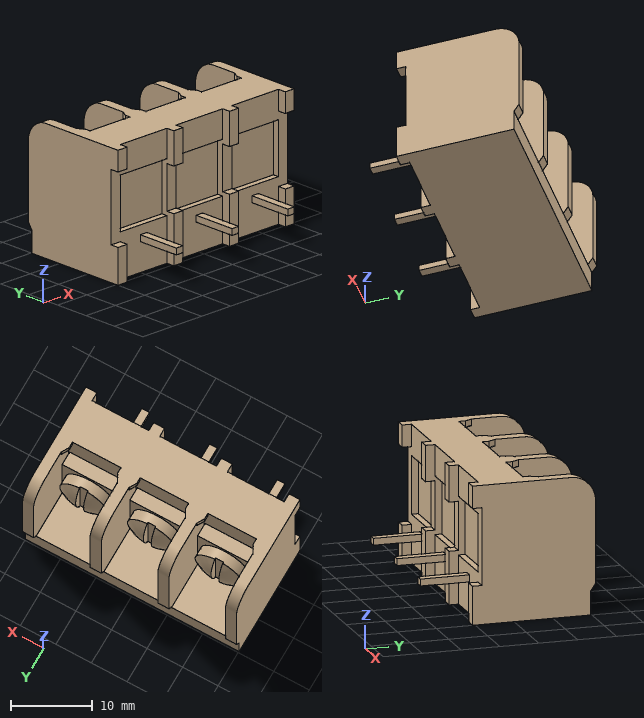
import cadquery as cq


pole_count = 3
length = 30.12
height = 17.77
depth = 15.85
pitch = 9.52
wall = length - pole_count * pitch
bay_width = pitch - wall
corner_radius = 3.15

base_inset = 0.63
base_height = 3.05
step_top = 4.0

bay_back = 7.15
roof_thickness = 0.85
throat_width = 6.8
throat_straight_end = 7.95
throat_flare_end = 8.95

foot_depth = 1.2
outer_foot_top = 5.0
outer_lug_bottom = height - 2.85
inner_foot_top = 6.87
inner_lug_bottom = 13.13
pocket_bottom = 6.3
pocket_top = 13.75
pocket_depth = 0.87

pin_width = 1.1
pin_height = 0.9
pin_length = 5.12
pin_top = outer_foot_top

plate_width = 7.6
plate_front = 9.0
screw_z = (pocket_bottom + pocket_top) / 2
head_radius = 3.3
head_rim = 10.48
head_crown = 11.45
slot_width = 1.1
slot_floor = 10.3

wall_positions = [(i - pole_count / 2) * pitch for i in range(pole_count + 1)]
pole_positions = [(i - (pole_count - 1) / 2) * pitch for i in range(pole_count)]


def block(x_center, width, y_min, y_max, z_min, z_max):
    """Box centred on x_center in X, between the given Y and Z limits."""
    size = (width, y_max - y_min, z_max - z_min)
    return cq.Workplane("XY").box(*size, centered=(True, False, False)).translate((x_center, y_min, z_min))


def housing():
    """Side outline with the rounded back corner, extruded over the full length."""
    return (
        cq.Workplane("YZ")
        .moveTo(0, 0)
        .lineTo(depth - base_inset, 0)
        .lineTo(depth - base_inset, base_height)
        .lineTo(depth, step_top)
        .lineTo(depth, height - corner_radius)
        .radiusArc((depth - corner_radius, height), -corner_radius)
        .lineTo(0, height)
        .close()
        .extrude(length / 2, both=True)
    )


def bay(x_center):
    """Bay between two walls, with a flared throat through the lip that overhangs it."""
    chamber = block(x_center, bay_width, bay_back, depth, base_height, height - roof_thickness)
    half_throat = throat_width / 2
    half_bay = bay_width / 2
    throat = (
        cq.Workplane("XY", origin=(x_center, 0, base_height))
        .moveTo(-half_throat, bay_back)
        .lineTo(half_throat, bay_back)
        .lineTo(half_throat, throat_straight_end)
        .lineTo(half_bay, throat_flare_end)
        .lineTo(half_bay, depth)
        .lineTo(-half_bay, depth)
        .lineTo(-half_bay, throat_flare_end)
        .lineTo(-half_throat, throat_straight_end)
        .close()
        .extrude(height - base_height)
    )
    return chamber.union(throat)


def foot_gap(x_center):
    """Clearance between the feet of neighbouring walls."""
    return block(x_center, bay_width, 0, foot_depth, 0, height)


def foot_notch(x_center, is_outer):
    """Break that parts the foot of a wall into a lower foot and an upper lug."""
    z_min = outer_foot_top if is_outer else inner_foot_top
    z_max = outer_lug_bottom if is_outer else inner_lug_bottom
    return block(x_center, wall, 0, foot_depth, z_min, z_max)


def pocket(x_center):
    """Shallow rectangular pocket in the mounting face."""
    return block(x_center, bay_width, foot_depth, foot_depth + pocket_depth, pocket_bottom, pocket_top)


def pin(x_center):
    """Straight pin standing out of the mounting face."""
    return block(x_center, pin_width, -pin_length, foot_depth, pin_top - pin_height, pin_top)


def terminal(x_center):
    """Square plate against the bay's inner face, with a domed slotted screw head on it."""
    half_plate = plate_width / 2
    plate = block(x_center, plate_width, bay_back, plate_front, screw_z - half_plate, screw_z + half_plate)

    crown_height = head_crown - head_rim
    crown_radius = (head_radius**2 + crown_height**2) / (2 * crown_height)
    head = (
        cq.Workplane("XY")
        .moveTo(0, plate_front)
        .lineTo(head_radius, plate_front)
        .lineTo(head_radius, head_rim)
        .radiusArc((0, head_crown), -crown_radius)
        .close()
        .revolve(360, (0, 0, 0), (0, 1, 0))
        .translate((x_center, 0, screw_z))
    )
    slot = block(x_center, slot_width, slot_floor, head_crown, screw_z - head_radius, screw_z + head_radius)
    return plate.union(head.cut(slot))


result = housing()

for x in wall_positions:
    result = result.cut(foot_notch(x, x in (wall_positions[0], wall_positions[-1])))

for x in pole_positions:
    result = result.cut(foot_gap(x)).cut(bay(x)).cut(pocket(x))
    result = result.union(pin(x)).union(terminal(x))